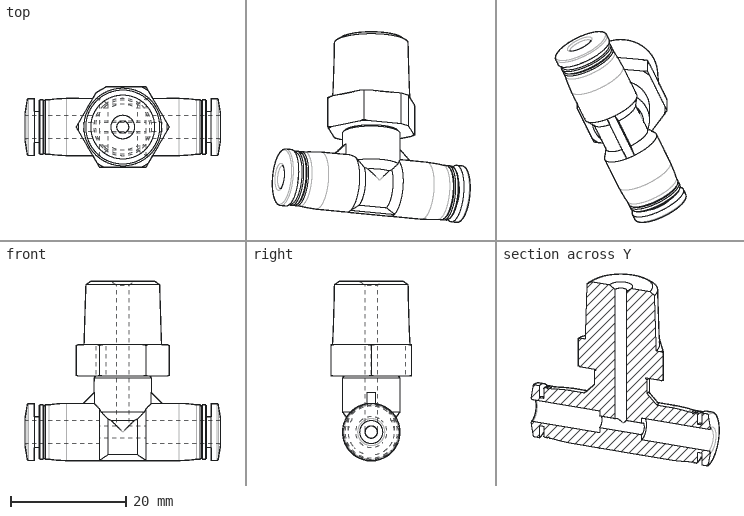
import cadquery as cq
import math


bore_diameter = 2.1
socket_diameter = 4.0
socket_floor_x = 4.0
socket_rim_radius = 2.35
socket_rim_round = 0.35
countersink_diameter = 4.1
countersink_depth = 0.75

core_radius = 4.0
barrel_radius = 5.0
flare_length = 1.5
run_flare_x = 2.55
run_barrel_x = run_flare_x + flare_length
leg_flare_z = 2.0
leg_barrel_z = leg_flare_z + flare_length

shoulder_start_x = 9.8
shoulder_end_x = 12.8
collar_radius = 4.75
groove_bevel = 0.22
groove_x = 13.67
collar_end_x = 14.57
stem_radius = 2.7
button_back_x = 15.35
button_radius = 4.95
button_face_radius = 4.75
button_rim_x = 16.35
button_face_x = 16.6
end_x = 17.0

hex_bottom_z = 9.7
hex_height = 5.5
hex_top_z = hex_bottom_z + hex_height
hex_across_flats = 14.0
hex_across_corners = hex_across_flats / math.cos(math.radians(30))
hex_face_radius = 7.7
hex_bevel_height = 0.15
corner_flat_distance = 7.5
corner_flat_angle = 120
neck_bevel = 0.3

thread_length = 11.0
thread_base_radius = 6.75
thread_bevel_height = 0.6
thread_face_radius = 5.55
thread_top_z = hex_top_z + thread_length
thread_taper = 1 / 16
thread_bevel_z = thread_top_z - thread_bevel_height
thread_end_radius = thread_base_radius - (thread_bevel_z - hex_top_z) * thread_taper / 2

web_thickness = 1.5
gusset_leg = 1.85


def make_run_half():
    """Half of the tube run on the +X side, turned about the X axis."""
    groove_radius = collar_radius - groove_bevel
    outline = (
        cq.Workplane("XZ")
        .moveTo(0, 0)
        .lineTo(0, core_radius)
        .lineTo(run_flare_x, core_radius)
        .lineTo(run_barrel_x, barrel_radius)
        .lineTo(shoulder_start_x, barrel_radius)
        .tangentArcPoint((shoulder_end_x, collar_radius), relative=False)
        .lineTo(groove_x - groove_bevel, collar_radius)
        .lineTo(groove_x, groove_radius)
        .lineTo(groove_x + groove_bevel, collar_radius)
        .lineTo(collar_end_x - groove_bevel, collar_radius)
        .lineTo(collar_end_x, groove_radius)
        .lineTo(collar_end_x, stem_radius)
        .lineTo(button_back_x, stem_radius)
        .lineTo(button_back_x, button_radius)
        .lineTo(button_rim_x, button_radius)
        .tangentArcPoint((button_face_x, button_face_radius), relative=False)
        .lineTo(end_x, socket_rim_radius)
        .lineTo(end_x, 0)
        .close()
    )
    return outline.revolve(360, (0, 0, 0), (1, 0, 0))


def make_leg():
    """Core, flare and neck of the leg, ending under the hexagon."""
    outline = (
        cq.Workplane("XZ")
        .moveTo(0, 0)
        .lineTo(core_radius, 0)
        .lineTo(core_radius, leg_flare_z)
        .lineTo(barrel_radius, leg_barrel_z)
        .lineTo(barrel_radius, hex_bottom_z - neck_bevel)
        .lineTo(barrel_radius - neck_bevel, hex_bottom_z)
        .lineTo(0, hex_bottom_z)
        .close()
    )
    return outline.revolve(360, (0, 0, 0), (0, 1, 0))


def make_hexagon():
    """Wrench hexagon with turned corner bevels and one corner cut flat."""
    hexagon = (
        cq.Workplane("XY", origin=(0, 0, hex_bottom_z))
        .polygon(6, hex_across_corners)
        .extrude(hex_height)
    )
    corner_radius = hex_across_corners / 2
    bevelled_blank = (
        cq.Workplane("XZ")
        .moveTo(0, hex_bottom_z)
        .lineTo(hex_face_radius, hex_bottom_z)
        .lineTo(corner_radius, hex_bottom_z + hex_bevel_height)
        .lineTo(corner_radius, hex_top_z - hex_bevel_height)
        .lineTo(hex_face_radius, hex_top_z)
        .lineTo(0, hex_top_z)
        .close()
        .revolve(360, (0, 0, 0), (0, 1, 0))
    )
    corner_cutter = (
        cq.Workplane("XY", origin=(0, 0, hex_bottom_z))
        .center(corner_flat_distance + hex_across_flats / 2, 0)
        .rect(hex_across_flats, hex_across_flats)
        .extrude(hex_height)
        .rotate((0, 0, 0), (0, 0, 1), corner_flat_angle)
    )
    return hexagon.intersect(bevelled_blank).cut(corner_cutter)


def make_thread():
    """Plain taper standing for the male pipe thread, bevelled at its end."""
    outline = (
        cq.Workplane("XZ")
        .moveTo(0, hex_top_z)
        .lineTo(thread_base_radius, hex_top_z)
        .lineTo(thread_end_radius, thread_bevel_z)
        .lineTo(thread_face_radius, thread_top_z)
        .lineTo(0, thread_top_z)
        .close()
    )
    return outline.revolve(360, (0, 0, 0), (0, 1, 0))


def make_web():
    """Thin web: gussets between run and neck, and a filler below the core."""
    gusset_foot_x = barrel_radius + gusset_leg
    gusset_top_z = barrel_radius + gusset_leg
    return (
        cq.Workplane("XZ")
        .moveTo(-run_barrel_x, -barrel_radius)
        .lineTo(run_barrel_x, -barrel_radius)
        .lineTo(run_barrel_x, 0)
        .lineTo(gusset_foot_x, 0)
        .lineTo(gusset_foot_x, barrel_radius)
        .lineTo(barrel_radius, gusset_top_z)
        .lineTo(-barrel_radius, gusset_top_z)
        .lineTo(-gusset_foot_x, barrel_radius)
        .lineTo(-gusset_foot_x, 0)
        .lineTo(-run_barrel_x, 0)
        .close()
        .extrude(web_thickness / 2, both=True)
    )


def make_socket():
    """Tube socket on the +X side, with a rounded mouth."""
    socket_radius = socket_diameter / 2
    outline = (
        cq.Workplane("XZ")
        .moveTo(socket_floor_x, 0)
        .lineTo(socket_floor_x, socket_radius)
        .lineTo(end_x - socket_rim_round, socket_radius)
        .tangentArcPoint((end_x, socket_rim_radius), relative=False)
        .lineTo(end_x, 0)
        .close()
    )
    return outline.revolve(360, (0, 0, 0), (1, 0, 0))


def make_bores():
    """Through bore of the run and the countersunk bore of the leg."""
    bore_radius = bore_diameter / 2
    countersink_radius = countersink_diameter / 2
    run_bore = cq.Workplane("YZ").circle(bore_radius).extrude(end_x, both=True)
    leg_bore = (
        cq.Workplane("XZ")
        .lineTo(bore_radius, 0)
        .lineTo(bore_radius, thread_top_z - countersink_depth)
        .lineTo(countersink_radius, thread_top_z)
        .lineTo(0, thread_top_z)
        .close()
        .revolve(360, (0, 0, 0), (0, 1, 0))
    )
    return run_bore.union(leg_bore)


run_half = make_run_half()
socket = make_socket()
run = run_half.union(run_half.mirror("YZ"))
sockets = socket.union(socket.mirror("YZ"))

body = run.union(make_leg())
body = body.union(make_hexagon()).union(make_thread()).union(make_web())
result = body.cut(make_bores()).cut(sockets)